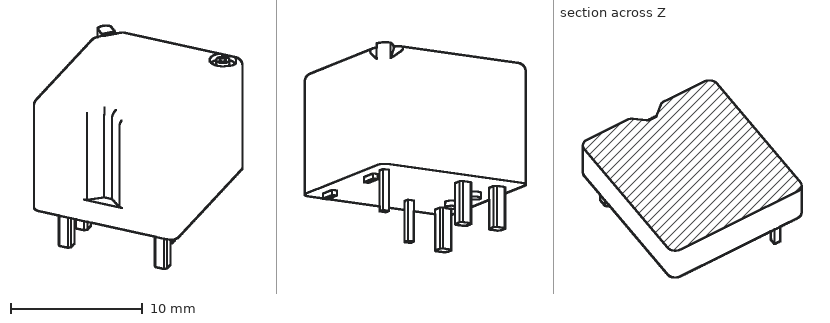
import cadquery as cq
import math

HOUSING_X = 12.0
HOUSING_Y = 13.0
HOUSING_Z = 9.5
EDGE_RADIUS = 0.7
HALF_X = HOUSING_X / 2
HALF_Y = HOUSING_Y / 2
MARGIN = 1.0

NOTCH_FLOOR_Z = 1.87
NOTCH_MOUTH_HALF = 1.57
NOTCH_SHOULDER_HALF = 1.34
NOTCH_SHOULDER_DEPTH = 0.07
NOTCH_FLOOR_HALF = 0.32
NOTCH_DEPTH = 0.95

CORNER_CHAMFER = 1.76
TAB_HALF_WIDTH = 0.54
TAB_TOP_LENGTH = 1.45
TAB_STEP = 0.08

RECESS_X = 4.69
RECESS_Y = 5.19
RECESS_RADIUS = 1.0
RECESS_DEPTH = 0.5
BOSS_RADIUS = 0.5
BOSS_HEIGHT = 0.5
BOSS_HOLE_RADIUS = 0.24
BOSS_HOLE_END_RADIUS = 0.14
BOSS_HOLE_DEPTH = 0.3

PIN_LENGTH = 3.2
CONTACT_PIN_WIDTH = 1.04
CONTACT_PIN_CHAMFER = 0.18
CONTACT_PINS = [(-3.68, -5.04), (4.31, -5.04), (-3.68, -2.04)]
COIL_PIN_WIDTH = 0.53
COIL_PINS = [(-4.16, 5.19), (3.3, -1.42)]

STANDOFF_HEIGHT = 0.4
ROUND_STANDOFF_RADIUS = 0.5
ROUND_STANDOFFS = [(-1.38, -4.4), (2.01, -4.4)]
BAR_STANDOFF_LENGTH = 1.4
BAR_STANDOFF_WIDTH = 0.4
BAR_STANDOFFS = [(-2.14, 5.19), (3.95, 5.19)]


def make_block(rounded_edges):
    """Housing block with the selected edges rounded."""
    block = cq.Workplane("XY").box(HOUSING_X, HOUSING_Y, HOUSING_Z, centered=(True, True, False))
    return block.edges(rounded_edges).fillet(EDGE_RADIUS)


def flared_cutter(start, end):
    """Tool for the open side of a notch wall running from start to end (open side on the right).

    It reaches past both ends of the wall. The wall is vertical and curls outward at the top,
    so that it leaves a rounded top edge.
    """
    length = math.dist(start, end)
    direction = ((end[0] - start[0]) / length, (end[1] - start[1]) / length, 0)
    outward = (direction[1], -direction[0], 0)
    reach = NOTCH_DEPTH + NOTCH_MOUTH_HALF + MARGIN
    origin = (
        start[0] - reach * direction[0],
        start[1] - reach * direction[1],
        0,
    )
    plane = cq.Plane(origin=origin, xDir=outward, normal=tuple(-d for d in direction))
    arc_start_z = HOUSING_Z - EDGE_RADIUS
    arc_middle = (
        -EDGE_RADIUS * (1 - math.sqrt(0.5)),
        arc_start_z + EDGE_RADIUS * math.sqrt(0.5),
    )
    return (
        cq.Workplane(plane)
        .moveTo(reach, NOTCH_FLOOR_Z)
        .lineTo(0, NOTCH_FLOOR_Z)
        .lineTo(0, arc_start_z)
        .threePointArc(arc_middle, (-EDGE_RADIUS, HOUSING_Z))
        .lineTo(-EDGE_RADIUS, HOUSING_Z + MARGIN)
        .lineTo(reach, HOUSING_Z + MARGIN)
        .close()
        .extrude(-(length + 2 * reach))
    )


def make_notch():
    """Trapezoidal notch with a shallow shoulder on each side of its mouth."""
    front = -HALF_Y
    shoulder_y = front + NOTCH_SHOULDER_DEPTH
    floor_y = front + NOTCH_DEPTH
    left_wall = flared_cutter((-NOTCH_SHOULDER_HALF, shoulder_y), (-NOTCH_FLOOR_HALF, floor_y))
    back_wall = flared_cutter((-NOTCH_FLOOR_HALF, floor_y), (NOTCH_FLOOR_HALF, floor_y))
    right_wall = left_wall.mirror("YZ")
    notch = left_wall.intersect(back_wall).intersect(right_wall)

    shoulder_end_x = NOTCH_FLOOR_HALF - NOTCH_SHOULDER_HALF
    left_zone = (
        cq.Workplane("XY", origin=(shoulder_end_x - HALF_X, front - HALF_Y, 0))
        .box(HALF_X, HOUSING_Y, HOUSING_Z + MARGIN, centered=False)
    )
    shoulder = flared_cutter((-NOTCH_MOUTH_HALF, front), (-NOTCH_SHOULDER_HALF, shoulder_y))
    shoulder = shoulder.intersect(left_zone)
    return notch.union(shoulder).union(shoulder.mirror("YZ"))


def corner_plane():
    """Vertical plane through the (-X, +Y) corner: local x runs inward along the diagonal, y is up."""
    return cq.Plane(origin=(-HALF_X, HALF_Y, 0), xDir=(1, -1, 0), normal=(-1, -1, 0))


def make_corner_cut():
    """45 degree chamfer across the corner."""
    return (
        cq.Workplane(corner_plane())
        .moveTo(CORNER_CHAMFER + MARGIN, HOUSING_Z + MARGIN)
        .lineTo(-MARGIN, HOUSING_Z - CORNER_CHAMFER - MARGIN)
        .lineTo(-MARGIN, HOUSING_Z + MARGIN)
        .close()
        .extrude(HALF_X / 2, both=True)
    )


def make_corner_tab():
    """Flat-topped tab on the chamfer, stepping down to a low ledge at its inner end."""
    tab_base_z = HOUSING_Z - CORNER_CHAMFER - MARGIN
    ledge_z = HOUSING_Z - TAB_STEP
    tab = (
        cq.Workplane(corner_plane())
        .moveTo(0, tab_base_z)
        .lineTo(0, HOUSING_Z)
        .lineTo(TAB_TOP_LENGTH, HOUSING_Z)
        .lineTo(TAB_TOP_LENGTH + TAB_STEP, ledge_z)
        .lineTo(CORNER_CHAMFER - TAB_STEP, ledge_z)
        .lineTo(CORNER_CHAMFER - TAB_STEP, tab_base_z)
        .close()
        .extrude(TAB_HALF_WIDTH, both=True)
    )
    return tab.intersect(make_block("|Z"))


def vertical_cylinder(center, bottom_z, radius, height):
    return cq.Workplane("XY", origin=(*center, bottom_z)).circle(radius).extrude(height)


def add_recess(body):
    """Round recess holding a boss with a tapered blind hole."""
    center = (RECESS_X, RECESS_Y)
    floor_z = HOUSING_Z - RECESS_DEPTH
    boss_top_z = floor_z + BOSS_HEIGHT
    recess = vertical_cylinder(center, floor_z, RECESS_RADIUS, RECESS_DEPTH + MARGIN)
    boss = vertical_cylinder(center, floor_z, BOSS_RADIUS, BOSS_HEIGHT)
    hole = cq.Solid.makeCone(
        BOSS_HOLE_RADIUS,
        BOSS_HOLE_END_RADIUS,
        BOSS_HOLE_DEPTH,
        pnt=cq.Vector(*center, boss_top_z),
        dir=cq.Vector(0, 0, -1),
    )
    return body.cut(recess).union(boss).cut(cq.Workplane(hole))


def make_pins():
    """Three chamfered contact pins and two square coil pins, pointing down."""
    contacts = (
        cq.Workplane("XY")
        .pushPoints(CONTACT_PINS)
        .rect(CONTACT_PIN_WIDTH, CONTACT_PIN_WIDTH)
        .extrude(-PIN_LENGTH)
        .edges("|Z")
        .chamfer(CONTACT_PIN_CHAMFER)
    )
    coils = (
        cq.Workplane("XY")
        .pushPoints(COIL_PINS)
        .rect(COIL_PIN_WIDTH, COIL_PIN_WIDTH)
        .extrude(-PIN_LENGTH)
    )
    return contacts.union(coils)


def make_standoffs():
    """Two round and two bar-shaped feet."""
    base = cq.Workplane("XY")
    rounds = base.pushPoints(ROUND_STANDOFFS).circle(ROUND_STANDOFF_RADIUS).extrude(-STANDOFF_HEIGHT)
    bars = (
        base.pushPoints(BAR_STANDOFFS)
        .rect(BAR_STANDOFF_LENGTH, BAR_STANDOFF_WIDTH)
        .extrude(-STANDOFF_HEIGHT)
    )
    return rounds.union(bars)


housing = make_block("|Z or >Z").cut(make_notch())
housing = housing.cut(make_corner_cut()).union(make_corner_tab())
housing = add_recess(housing)
result = housing.union(make_pins()).union(make_standoffs())